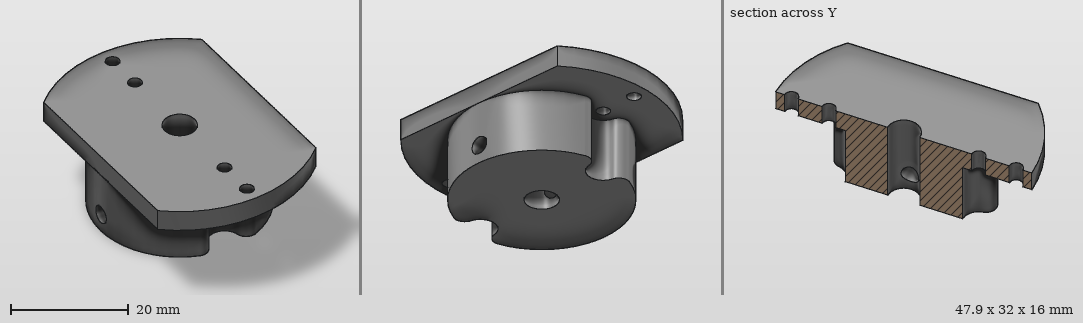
import cadquery as cq
import math

plate_diameter = 47.9
plate_width = 32.0
plate_thickness = 4.03

hub_radius = plate_width / 2
hub_height = 12.0

bore_diameter = 6.0
screw_diameter = 2.5
inner_screw_x = 14.0
outer_screw_x = 21.0

cross_hole_diameter = 3.3
cross_hole_z = 3.5

notch_radius = 3.0
lip_radius = 2.0

overall_height = hub_height + plate_thickness


def make_plate():
    disc = cq.Workplane("XY").workplane(offset=hub_height).circle(plate_diameter / 2).extrude(plate_thickness)
    flats = cq.Workplane("XY").box(
        plate_diameter, plate_width, overall_height, centered=(True, True, False)
    )
    return disc.intersect(flats)


def make_notch():
    """Cutter for the +X notch: a round pocket whose mouth flares tangentially into the hub wall."""
    lip_path = hub_radius - lip_radius
    center_distance = notch_radius + lip_radius
    lip_x = (lip_path**2 + inner_screw_x**2 - center_distance**2) / (2 * inner_screw_x)
    lip_y = math.sqrt(lip_path**2 - lip_x**2)

    share = notch_radius / center_distance
    join_x = inner_screw_x + share * (lip_x - inner_screw_x)
    join_y = share * lip_y
    rim_x = lip_x * hub_radius / lip_path
    rim_y = lip_y * hub_radius / lip_path

    join_angle = math.atan2(join_y - lip_y, join_x - lip_x)
    rim_angle = math.atan2(rim_y - lip_y, rim_x - lip_x)
    middle_angle = (join_angle + rim_angle) / 2
    middle_x = lip_x + lip_radius * math.cos(middle_angle)
    middle_y = lip_y + lip_radius * math.sin(middle_angle)

    return (
        cq.Workplane("XY")
        .moveTo(rim_x, rim_y)
        .threePointArc((middle_x, middle_y), (join_x, join_y))
        .threePointArc((inner_screw_x - notch_radius, 0), (join_x, -join_y))
        .threePointArc((middle_x, -middle_y), (rim_x, -rim_y))
        .threePointArc((hub_radius, 0), (rim_x, rim_y))
        .close()
        .extrude(hub_height)
    )


def make_hub():
    hub = cq.Workplane("XY").circle(hub_radius).extrude(hub_height)
    notch = make_notch()
    return hub.cut(notch).cut(notch.mirror("YZ"))


def make_vertical_holes():
    screw_points = [(side * x, 0) for side in (-1, 1) for x in (inner_screw_x, outer_screw_x)]
    bore = cq.Workplane("XY").circle(bore_diameter / 2).extrude(overall_height)
    screws = cq.Workplane("XY").pushPoints(screw_points).circle(screw_diameter / 2).extrude(overall_height)
    return bore.union(screws)


def make_cross_hole():
    return (
        cq.Workplane("XZ")
        .center(0, cross_hole_z)
        .circle(cross_hole_diameter / 2)
        .extrude(hub_radius, both=True)
    )


body = make_plate().union(make_hub())
result = body.cut(make_vertical_holes()).cut(make_cross_hole())